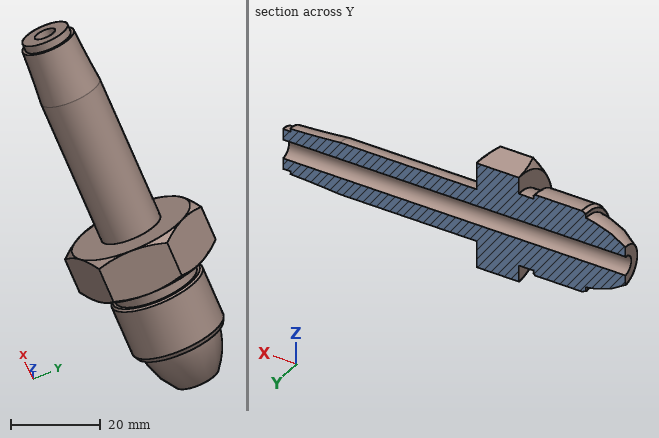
import cadquery as cq
import math

length = 88.9
collar_start = 10.2
collar_end = 23.9
hex_start = 27.65
hex_width = 11.0
hex_end = hex_start + hex_width
taper_start = 74.1
taper_end = 87.0

nose_tip_diameter = 10.4
nose_base_diameter = 19.0
collar_diameter = 22.2
neck_diameter = 19.7
tube_diameter = 14.3
taper_end_diameter = 12.5
pilot_diameter = 11.0
bore_diameter = 5.0

hex_across_flats = 28.5
hex_across_corners = hex_across_flats / math.cos(math.pi / 6)
hex_chamfer_angle = math.radians(30)
front_chamfer_length = 1.1
front_chamfer_depth = 0.5
rear_chamfer_length = 0.45
rear_chamfer_depth = 0.5
nose_bulge = 0.8
taper_hollow = 0.1


def arc_midpoint(start, end, bulge):
    """Point offset from the middle of a chord; positive bulge is away from the axis."""
    dx = end[0] - start[0]
    dy = end[1] - start[1]
    chord = math.hypot(dx, dy)
    middle_x = (start[0] + end[0]) / 2
    middle_y = (start[1] + end[1]) / 2
    return (middle_x - bulge * dy / chord, middle_y + bulge * dx / chord)


def make_turned_body():
    """Nose, collar, neck, tube and tapered tail as one revolved profile."""
    nose_tip = (0, nose_tip_diameter / 2)
    nose_base = (collar_start, nose_base_diameter / 2)
    taper_root = (taper_start, tube_diameter / 2)
    taper_tip = (taper_end, taper_end_diameter / 2)
    collar_radius = collar_diameter / 2
    profile = (
        cq.Workplane("XY")
        .lineTo(*nose_tip)
        .threePointArc(arc_midpoint(nose_tip, nose_base, nose_bulge), nose_base)
        .lineTo(collar_start, collar_radius - front_chamfer_depth)
        .lineTo(collar_start + front_chamfer_length, collar_radius)
        .lineTo(collar_end - rear_chamfer_length, collar_radius)
        .lineTo(collar_end, collar_radius - rear_chamfer_depth)
        .lineTo(collar_end, neck_diameter / 2)
        .lineTo(hex_start, neck_diameter / 2)
        .lineTo(hex_start, tube_diameter / 2)
        .lineTo(*taper_root)
        .threePointArc(arc_midpoint(taper_root, taper_tip, -taper_hollow), taper_tip)
        .lineTo(taper_end, pilot_diameter / 2)
        .lineTo(length, pilot_diameter / 2)
        .lineTo(length, 0)
        .close()
    )
    return profile.revolve(360, (0, 0, 0), (1, 0, 0))


def make_hexagon():
    """Hexagon with corners on the Y axis, both faces chamfered conically."""
    prism = (
        cq.Workplane("YZ", origin=(hex_start, 0, 0))
        .polygon(6, hex_across_corners)
        .extrude(hex_width)
    )
    face_radius = hex_across_flats / 2
    corner_radius = hex_across_corners / 2
    chamfer_length = (corner_radius - face_radius) * math.tan(hex_chamfer_angle)
    envelope = (
        cq.Workplane("XY")
        .moveTo(hex_start, 0)
        .lineTo(hex_start, face_radius)
        .lineTo(hex_start + chamfer_length, corner_radius)
        .lineTo(hex_end - chamfer_length, corner_radius)
        .lineTo(hex_end, face_radius)
        .lineTo(hex_end, 0)
        .close()
        .revolve(360, (0, 0, 0), (1, 0, 0))
    )
    return prism.intersect(envelope)


bore = cq.Workplane("YZ").circle(bore_diameter / 2).extrude(length)
result = make_turned_body().union(make_hexagon()).cut(bore)